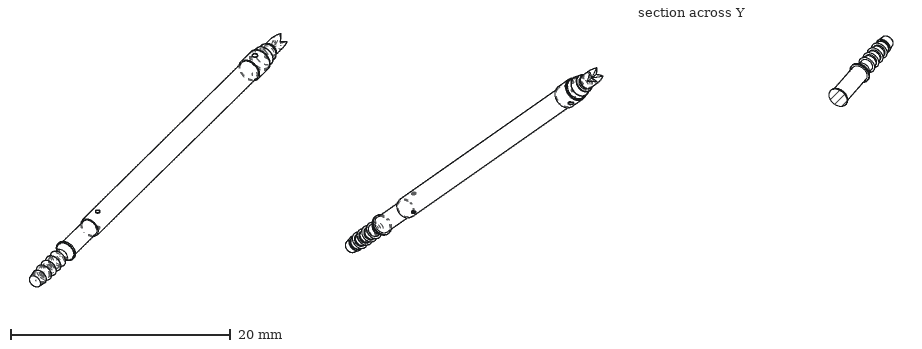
import cadquery as cq
import math

LENGTH = 42.7

CORE_RADIUS = 0.6
BARB_RADIUS = 0.8
END_BARB_RADIUS = 0.73
END_BARB_Y = 0.8
FIRST_BARB_Y = 1.6
BARB_PITCH = 0.8
BARB_COUNT = 4
BARB_TAPER = 0.65

CONE_START_Y = 4.65
CONE_END_RADIUS = 0.9
FLANGE_RADIUS = 1.0
FLANGE_START_Y = 5.3
FLANGE_WIDTH = 0.15
STEM_RADIUS = 0.8

BARREL_RADIUS = 1.0
BARREL_START_Y = 9.5
BARREL_TAPER_LENGTH = 0.25
BARREL_TAPER_DEPTH = 0.05
RING_RADIUS = 1.1
RING_START_Y = 37.25
RING_END_Y = 39.05
RING_FOOT_RADIUS = 1.02
RING_FOOT_LENGTH = 0.13
BARREL_END_Y = 39.8

NOSE_RADIUS = 0.85
NOSE_CONE_END_Y = 40.22
NOSE_SHOULDER_RADIUS = 0.95
NOSE_END_Y = 40.55
NOSE_CHAMFER = 0.05
NECK_RADIUS = 0.6
HEAD_START_Y = 40.85
HEAD_RADIUS = 0.7

GROOVE_DEPTH = 0.85
GROOVE_HALF_WIDTH = HEAD_RADIUS / math.sqrt(2)

RING_DIMPLE_Y = 38.2
RING_DIMPLE_RADIUS = 0.25
BARREL_DIMPLE_Y = 10.9
BARREL_DIMPLE_RADIUS = 0.2
DIMPLE_DEPTH = 0.1


def tail_outline():
    """Points (radius, y) of the saw-tooth barbs, from the end face upward."""
    points = [(0, 0), (CORE_RADIUS, 0), (END_BARB_RADIUS, END_BARB_Y), (CORE_RADIUS, END_BARB_Y)]
    for index in range(BARB_COUNT):
        barb_y = FIRST_BARB_Y + index * BARB_PITCH
        points.append((CORE_RADIUS, barb_y - BARB_TAPER))
        points.append((BARB_RADIUS, barb_y))
        points.append((CORE_RADIUS, barb_y))
    return points


def turned_body():
    """Whole stepped profile revolved about the Y axis."""
    flange_end_y = FLANGE_START_Y + FLANGE_WIDTH
    points = tail_outline() + [
        (CORE_RADIUS, CONE_START_Y),
        (CONE_END_RADIUS, FLANGE_START_Y),
        (FLANGE_RADIUS, FLANGE_START_Y),
        (FLANGE_RADIUS, flange_end_y),
        (STEM_RADIUS, flange_end_y),
        (STEM_RADIUS, BARREL_START_Y),
        (BARREL_RADIUS - BARREL_TAPER_DEPTH, BARREL_START_Y),
        (BARREL_RADIUS, BARREL_START_Y + BARREL_TAPER_LENGTH),
        (BARREL_RADIUS, RING_START_Y),
        (RING_RADIUS, RING_START_Y),
        (RING_RADIUS, RING_END_Y),
        (RING_FOOT_RADIUS, RING_END_Y),
        (BARREL_RADIUS, RING_END_Y + RING_FOOT_LENGTH),
        (BARREL_RADIUS, BARREL_END_Y),
        (NOSE_SHOULDER_RADIUS, BARREL_END_Y),
        (NOSE_RADIUS, NOSE_CONE_END_Y),
        (NOSE_RADIUS, NOSE_END_Y - NOSE_CHAMFER),
        (NOSE_RADIUS - NOSE_CHAMFER, NOSE_END_Y),
        (NECK_RADIUS, NOSE_END_Y),
        (NECK_RADIUS, HEAD_START_Y),
        (HEAD_RADIUS, HEAD_START_Y),
        (HEAD_RADIUS, LENGTH),
        (0, LENGTH),
    ]
    return cq.Workplane("XY").polyline(points).close().revolve(360, (0, 0), (0, 1))


def crown_groove(angle):
    """V groove across the tip, turned about the Y axis."""
    groove = (
        cq.Workplane("XY")
        .polyline([
            (-GROOVE_HALF_WIDTH, LENGTH),
            (GROOVE_HALF_WIDTH, LENGTH),
            (0, LENGTH - GROOVE_DEPTH),
        ])
        .close()
        .extrude(2 * HEAD_RADIUS, both=True)
    )
    return groove.rotate((0, 0, 0), (0, 1, 0), angle)


def dimple(y, surface_radius, radius, side):
    """Flat-bottomed round dimple on the top (side = 1) or bottom (side = -1)."""
    return (
        cq.Workplane("XY", origin=(0, y, side * (surface_radius - DIMPLE_DEPTH)))
        .circle(radius)
        .extrude(side * 2 * DIMPLE_DEPTH)
    )


result = turned_body()
for angle in (45, -45):
    result = result.cut(crown_groove(angle))
for side in (1, -1):
    result = result.cut(dimple(RING_DIMPLE_Y, RING_RADIUS, RING_DIMPLE_RADIUS, side))
    result = result.cut(dimple(BARREL_DIMPLE_Y, BARREL_RADIUS, BARREL_DIMPLE_RADIUS, side))